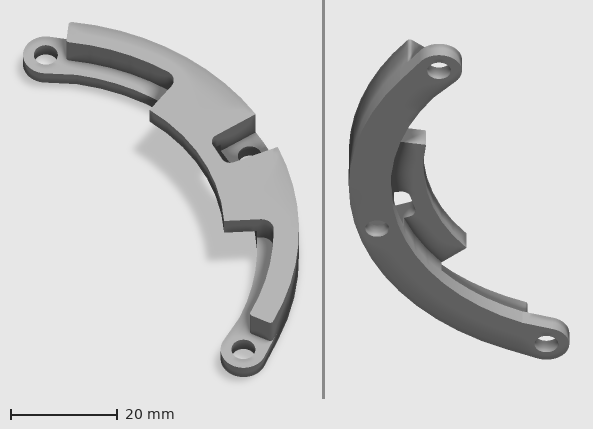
import cadquery as cq
import math

overall_length = 86.35
total_height = 8.7
base_height = 2.9
tooth_underside = 5.0

outer_radius = 48.7
bolt_radius = 44.9
wall_inner_radius = 43.95
base_inner_radius = 40.85
tooth_inner_radius = 34.7

hole_angle = 60.0
wall_angle = 55.0
arc_end_angle = 51.7
tooth_angle = 25.0
notch_angle = 5.1

ear_radius = overall_length / 2 - bolt_radius * math.sin(math.radians(hole_angle))
hole_radius = 2.25
notch_floor_y = 38.0
notch_fillet = 1.7
rim_clearance = 0.9
tooth_root_fillet = 2.3
wall_end_fillet = 0.6


def polar(radius, angle):
    """Point at a radius, with its angle in degrees clockwise from +Y."""
    a = math.radians(angle)
    return (radius * math.sin(a), radius * math.cos(a))


def sector(inner, outer, half_angle, bottom, top):
    """Annular sector, symmetric about +Y, between two heights."""
    return (
        cq.Workplane("XY").workplane(offset=bottom)
        .moveTo(*polar(outer, -half_angle))
        .threePointArc((0, outer), polar(outer, half_angle))
        .lineTo(*polar(inner, half_angle))
        .threePointArc((0, inner), polar(inner, -half_angle))
        .close()
        .extrude(top - bottom)
    )


def ear_tangent(start, turn):
    """Point where a line from start touches the right-hand ear; turn picks the side."""
    cx, cy = polar(bolt_radius, hole_angle)
    dx, dy = start[0] - cx, start[1] - cy
    angle = math.atan2(dy, dx) + turn * math.acos(ear_radius / math.hypot(dx, dy))
    return (cx + ear_radius * math.cos(angle), cy + ear_radius * math.sin(angle))


def mirrored(point):
    return (-point[0], point[1])


def base_plate():
    """Thin arc whose straight tapered ends run tangent into round ears."""
    outer_end = polar(outer_radius, arc_end_angle)
    inner_end = polar(base_inner_radius, arc_end_angle)
    outer_touch = ear_tangent(outer_end, -1)
    inner_touch = ear_tangent(inner_end, 1)
    hole_x, hole_y = polar(bolt_radius, hole_angle)
    tip_angle = math.radians(hole_angle)
    ear_tip = (hole_x + ear_radius * math.cos(tip_angle), hole_y - ear_radius * math.sin(tip_angle))
    return (
        cq.Workplane("XY")
        .moveTo(*mirrored(outer_end))
        .threePointArc((0, outer_radius), outer_end)
        .lineTo(*outer_touch)
        .threePointArc(ear_tip, inner_touch)
        .lineTo(*inner_end)
        .threePointArc((0, base_inner_radius), mirrored(inner_end))
        .lineTo(*mirrored(inner_touch))
        .threePointArc(mirrored(ear_tip), mirrored(outer_touch))
        .close()
        .extrude(base_height)
    )


def raised_wall():
    """Upper wall with a wide central block that fills out to the base's inner radius."""
    wall = sector(wall_inner_radius, outer_radius, wall_angle, base_height, total_height)
    wall = wall.edges("|Z").fillet(wall_end_fillet)
    block = sector(base_inner_radius, outer_radius, tooth_angle, base_height, total_height)
    wall = wall.union(block)
    tooth = sector(tooth_inner_radius, outer_radius, tooth_angle, tooth_underside, total_height)
    wall = wall.union(tooth)
    for side in (-1, 1):
        x, y = polar(wall_inner_radius, side * tooth_angle)
        root_edge = cq.selectors.NearestToPointSelector((x, y, (base_height + total_height) / 2))
        wall = wall.edges("|Z").edges(root_edge).fillet(tooth_root_fillet)
    return wall


def notch():
    """Radial-sided notch with rounded inner corners, open to the outer rim and top."""
    beyond_rim = outer_radius + rim_clearance
    floor_half_width = notch_floor_y * math.tan(math.radians(notch_angle))
    return (
        cq.Workplane("XY").workplane(offset=base_height)
        .polyline([
            polar(beyond_rim, -notch_angle),
            polar(beyond_rim, notch_angle),
            (floor_half_width, notch_floor_y),
            (-floor_half_width, notch_floor_y),
        ])
        .close()
        .extrude(total_height - base_height)
        .edges("|Z and <Y").fillet(notch_fillet)
    )


hole_centers = [polar(bolt_radius, angle) for angle in (-hole_angle, 0, hole_angle)]
holes = cq.Workplane("XY").pushPoints(hole_centers).circle(hole_radius).extrude(total_height)

result = base_plate().union(raised_wall()).cut(notch()).cut(holes)